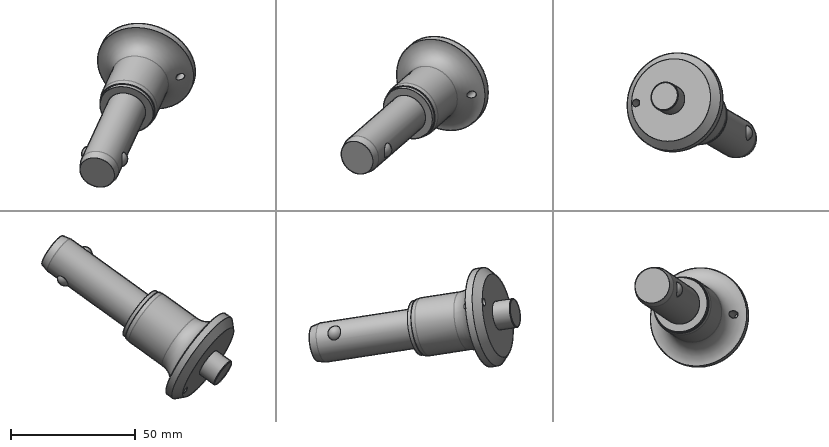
import cadquery as cq


shank_radius = 8.0
shank_length = 44.0
tip_radius = 7.2
tip_length = 3.4

ball_radius = 3.25
ball_reach = 9.5
ball_to_tip = 11.2

handle_length = 34.6
rim_radius = 20.0
rim_width = 3.0
rim_chamfer = 3.1
barrel_radius = 11.8
flare_radius = rim_radius - barrel_radius
collar_radius = 11.1
collar_length = 1.6
taper_length = 1.9
taper_end_radius = 11.5

button_radius = 5.85
button_length = 7.6
button_chamfer = 0.3

lanyard_hole_diameter = 3.0
lanyard_hole_offset = 15.0


def make_turned_body():
    """Revolve the half profile of shank, handle and button about the Y axis."""
    tip_y = -shank_length
    taper_end_y = collar_length
    barrel_start_y = taper_end_y + taper_length
    rim_top_y = handle_length - rim_chamfer
    rim_bottom_y = rim_top_y - rim_width
    barrel_end_y = rim_bottom_y - flare_radius
    button_end_y = handle_length + button_length

    profile = (
        cq.Workplane("XY")
        .moveTo(0, tip_y)
        .lineTo(tip_radius, tip_y)
        .lineTo(shank_radius, tip_y + tip_length)
        .lineTo(shank_radius, 0)
        .lineTo(collar_radius, 0)
        .lineTo(collar_radius, taper_end_y)
        .lineTo(taper_end_radius, taper_end_y)
        .lineTo(barrel_radius, barrel_start_y)
        .lineTo(barrel_radius, barrel_end_y)
        .radiusArc((rim_radius, rim_bottom_y), flare_radius)
        .lineTo(rim_radius, rim_top_y)
        .lineTo(rim_radius - rim_chamfer, handle_length)
        .lineTo(button_radius, handle_length)
        .lineTo(button_radius, button_end_y - button_chamfer)
        .lineTo(button_radius - button_chamfer, button_end_y)
        .lineTo(0, button_end_y)
        .close()
    )
    return profile.revolve(360, (0, 0, 0), (0, 1, 0))


def add_locking_balls(body):
    """Add two opposite balls that stand out of the shank near its tip."""
    ball_offset = ball_reach - ball_radius
    ball_y = ball_to_tip - shank_length
    for side in (-1, 1):
        ball = cq.Workplane("XY").sphere(ball_radius).translate((side * ball_offset, ball_y, 0))
        body = body.union(ball)
    return body


def cut_lanyard_hole(body):
    """Drill through the flared rim, parallel to the pin axis."""
    drill = (
        cq.Workplane("XZ")
        .center(lanyard_hole_offset, 0)
        .circle(lanyard_hole_diameter / 2)
        .extrude(-handle_length)
    )
    return body.cut(drill)


result = cut_lanyard_hole(add_locking_balls(make_turned_body()))